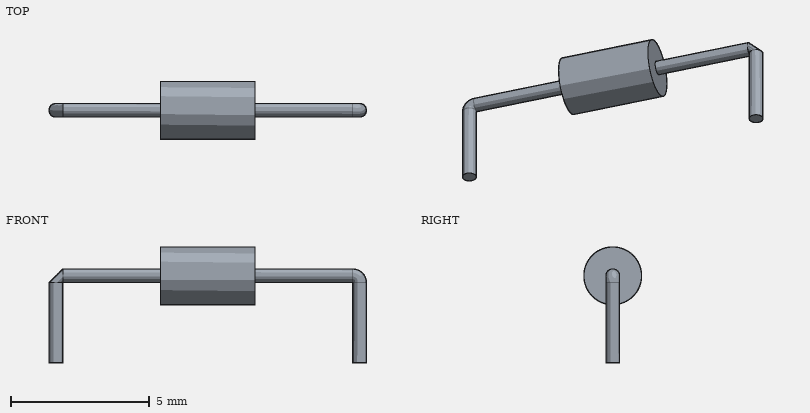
import cadquery as cq
import math

overall_length = 11.5
overall_height = 4.2
body_diameter = 2.1
body_length = 3.43
wire_diameter = 0.5

body_radius = body_diameter / 2
wire_radius = wire_diameter / 2
body_end_x = body_length / 2
leg_x = overall_length / 2 - wire_radius
corner_x = leg_x - wire_radius
corner_z = -wire_radius
leg_bottom_z = body_radius - overall_height
leg_length = corner_z - leg_bottom_z
run_length = corner_x - body_end_x


def make_body():
    """Plain cylinder lying along X."""
    return cq.Workplane("YZ", origin=(-body_end_x, 0, 0)).circle(body_radius).extrude(body_length)


def mitred_bend():
    """Slanted elliptical wedge that joins the round end of the -X run to the round top of its leg."""
    bar_reach = 2 * wire_diameter
    bar_plane = cq.Plane(
        origin=(-leg_x - bar_reach, 0, corner_z - bar_reach),
        xDir=(0, 1, 0),
        normal=(1, 0, 1),
    )
    slanted_bar = (
        cq.Workplane(bar_plane)
        .ellipse(wire_radius, wire_radius / math.sqrt(2))
        .extrude(2 * bar_reach * math.sqrt(2))
    )
    block_size = 2 * bar_reach
    outer_block = cq.Workplane("XY", origin=(-corner_x - block_size / 2, 0, corner_z)).box(
        block_size, block_size, block_size, centered=(True, True, False)
    )
    return slanted_bar.intersect(outer_block)


def make_mitred_lead():
    """-X lead: straight run from the body end face, mitred bend and leg."""
    run = cq.Workplane("YZ", origin=(-corner_x, 0, 0)).circle(wire_radius).extrude(run_length)
    leg = cq.Workplane("XY", origin=(-leg_x, 0, leg_bottom_z)).circle(wire_radius).extrude(leg_length)
    return run.union(mitred_bend()).union(leg)


def make_round_lead():
    """+X lead: wire swept from the body end face through a quarter turn about its inside corner."""
    path = (
        cq.Workplane("XZ")
        .moveTo(body_end_x, 0)
        .lineTo(corner_x, 0)
        .radiusArc((leg_x, corner_z), wire_radius)
        .lineTo(leg_x, leg_bottom_z)
    )
    return cq.Workplane("YZ", origin=(body_end_x, 0, 0)).circle(wire_radius).sweep(path)


body = make_body()
mitred_lead = make_mitred_lead()
round_lead = make_round_lead()

result = cq.Compound.makeCompound([
    body.solids().val(),
    mitred_lead.solids().val(),
    round_lead.solids().val(),
])